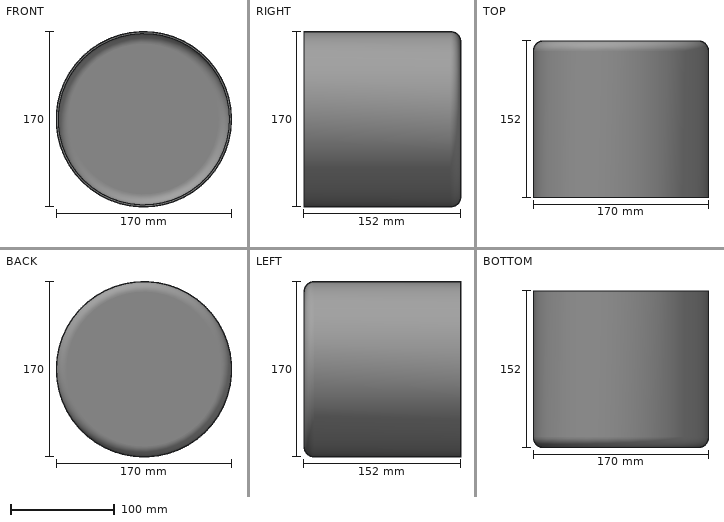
import cadquery as cq

outer_diameter = 170.0
length = 152.0
wall = 2.0
floor_thickness = wall
corner_radius = 10.0


def rounded_cylinder(diameter, height):
    """Cylinder from the XZ plane towards +Y with its far edge rounded."""
    cylinder = cq.Workplane("XZ").circle(diameter / 2).extrude(-height)
    return cylinder.faces(">Y").edges().fillet(corner_radius)


body = rounded_cylinder(outer_diameter, length)
cavity = rounded_cylinder(outer_diameter - 2 * wall, length - floor_thickness)

result = body.cut(cavity)